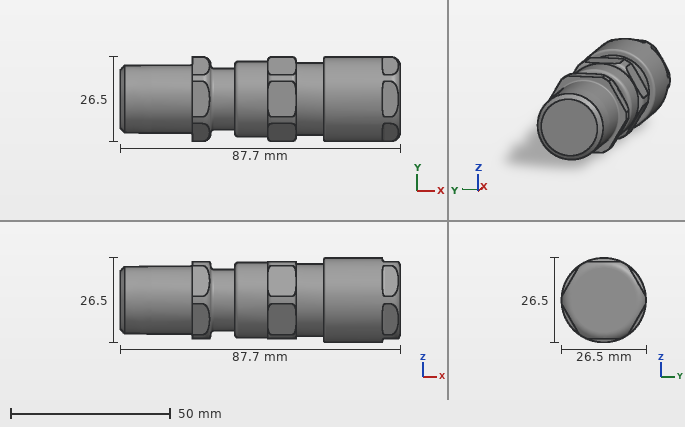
import cadquery as cq
import math

overall_length = 87.7

hex_sides = 6
hex_across_flats = 24.0
outer_diameter = 26.5

tip_diameter = 18.0
tip_chamfer_length = 1.4
taper_start_diameter = 21.05
taper_end = 9.8
spigot_diameter = 21.3
entry_hex_start = 22.6
entry_hex_end = 28.4
spigot_root_fillet = 0.5
neck_diameter = 19.2
neck_root_fillet = 1.0

middle_start = 35.9
collar_diameter = 23.7
collar_fillet = 1.2
middle_hex_start = 46.15
middle_hex_end = 55.1
middle_hex_fillet = 1.3
barrel_diameter = 22.6

nut_start = 63.7
nut_fillet = 0.8
nut_end_round = 3.1
flat_start = 82.1
flat_root_fillet = 0.8


def cylinder(diameter, start, end):
    """Solid cylinder along X between two stations."""
    return cq.Workplane("YZ", origin=(start, 0, 0)).circle(diameter / 2).extrude(end - start)


def hex_prism(start, end):
    """Hexagonal prism along X with corners on the Y axis."""
    across_corners = hex_across_flats / math.cos(math.pi / hex_sides)
    return cq.Workplane("YZ", origin=(start, 0, 0)).polygon(hex_sides, across_corners).extrude(end - start)


def revolve_about_x(outline):
    """Full turn of a closed XY outline about the X axis."""
    return outline.revolve(360, (0, 0, 0), (1, 0, 0))


def make_spigot():
    """Chamfered and tapered spigot, flaring out in a small fillet against the hexagon."""
    radius = spigot_diameter / 2
    outline = (
        cq.Workplane("XY")
        .lineTo(0, tip_diameter / 2)
        .lineTo(tip_chamfer_length, taper_start_diameter / 2)
        .lineTo(taper_end, radius)
        .lineTo(entry_hex_start - spigot_root_fillet, radius)
        .radiusArc((entry_hex_start, radius + spigot_root_fillet), -spigot_root_fillet)
        .lineTo(entry_hex_start, 0)
        .close()
    )
    return revolve_about_x(outline)


def make_entry_hex():
    """Hexagon trimmed by a turned shape whose right end curves down into the neck."""
    outer_radius = outer_diameter / 2
    neck_radius = neck_diameter / 2
    fillet_top = neck_radius + neck_root_fillet
    round_radius = outer_radius - fillet_top
    outline = (
        cq.Workplane("XY")
        .moveTo(entry_hex_start, 0)
        .lineTo(entry_hex_start, outer_radius)
        .lineTo(entry_hex_end - round_radius, outer_radius)
        .radiusArc((entry_hex_end, fillet_top), round_radius)
        .radiusArc((entry_hex_end + neck_root_fillet, neck_radius), -neck_root_fillet)
        .lineTo(entry_hex_end + neck_root_fillet, 0)
        .close()
    )
    return revolve_about_x(outline).intersect(hex_prism(entry_hex_start, middle_start))


def make_entry_body():
    """Spigot, hexagon and neck as one turned piece."""
    neck = cylinder(neck_diameter, entry_hex_end, middle_start)
    return make_spigot().union(make_entry_hex()).union(neck)


def make_middle_body():
    """Collar, hexagon rounded at both ends, and rear barrel."""
    collar = cylinder(collar_diameter, middle_start, middle_hex_start)
    collar = collar.faces("<X").edges().fillet(collar_fillet)
    hex_envelope = cylinder(outer_diameter, middle_hex_start, middle_hex_end)
    hex_envelope = hex_envelope.faces("<X or >X").edges().fillet(middle_hex_fillet)
    hexagon = hex_envelope.intersect(hex_prism(middle_hex_start, middle_hex_end))
    barrel = cylinder(barrel_diameter, middle_hex_end, nut_start)
    return collar.union(hexagon).union(barrel)


def make_flat_cutter():
    """Material removed above the top wrench flat, with a rounded inner corner."""
    flat_height = hex_across_flats / 2
    return (
        cq.Workplane("XZ")
        .moveTo(flat_start, outer_diameter)
        .lineTo(flat_start, flat_height + flat_root_fillet)
        .radiusArc((flat_start + flat_root_fillet, flat_height), -flat_root_fillet)
        .lineTo(overall_length, flat_height)
        .lineTo(overall_length, outer_diameter)
        .close()
        .extrude(outer_diameter / 2, both=True)
    )


def make_cap_nut():
    """Round nut, its flats cut at equal steps about the X axis."""
    nut = cylinder(outer_diameter, nut_start, overall_length)
    nut = nut.faces("<X").edges().fillet(nut_fillet)
    nut = nut.faces(">X").edges().fillet(nut_end_round)
    for flat in range(hex_sides):
        nut = nut.cut(make_flat_cutter().rotate((0, 0, 0), (1, 0, 0), flat * 360 / hex_sides))
    return nut


entry_body = make_entry_body()
middle_body = make_middle_body()
cap_nut = make_cap_nut()

result = cq.Compound.makeCompound([entry_body.val(), middle_body.val(), cap_nut.val()])